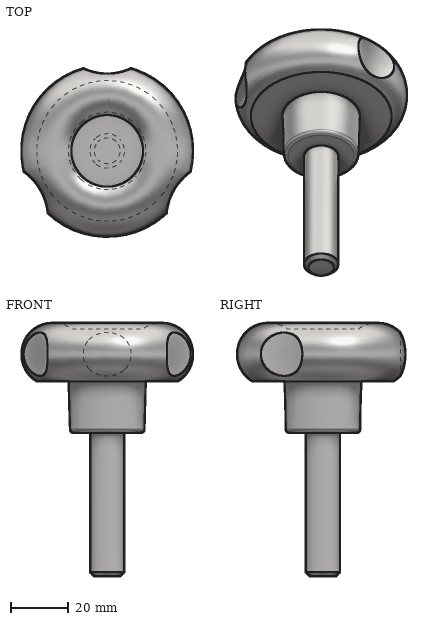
import cadquery as cq
import math

stud_radius = 6.0
stud_length = 50.0
stud_chamfer = 1.5

hub_height = 18.0
hub_bottom_radius = 13.0
hub_top_radius = 13.5
hub_fillet = 1.5

grip_outer_radius = 30.0
tube_radius = 11.0
tube_centre_radius = grip_outer_radius - tube_radius
total_height = 88.5
grip_top_z = total_height - stud_length
tube_centre_z = grip_top_z - tube_radius
disc_radius = 12.5

scallop_count = 3
scallop_radius = 20.0
scallop_centre_distance = 47.0
first_scallop_angle = 90.0
full_turn = 360


def tube_half_height(radius):
    """Height of the tube surface above its centre plane at a distance from the knob axis."""
    return math.sqrt(tube_radius**2 - (radius - tube_centre_radius) ** 2)


def make_grip():
    bottom_drop = tube_centre_z - hub_height
    base_radius = tube_centre_radius + math.sqrt(tube_radius**2 - bottom_drop**2)
    disc_z = tube_centre_z + tube_half_height(disc_radius)
    profile = (
        cq.Workplane("XZ")
        .moveTo(0, hub_height)
        .lineTo(base_radius, hub_height)
        .threePointArc((grip_outer_radius, tube_centre_z), (disc_radius, disc_z))
        .lineTo(0, disc_z)
        .close()
    )
    return profile.revolve(full_turn, (0, 0, 0), (0, 1, 0))


def make_hub():
    profile = (
        cq.Workplane("XZ")
        .lineTo(hub_bottom_radius, 0)
        .lineTo(hub_top_radius, hub_height)
        .lineTo(0, hub_height)
        .close()
    )
    hub = profile.revolve(full_turn, (0, 0, 0), (0, 1, 0))
    return hub.faces("<Z").edges().fillet(hub_fillet)


def make_stud():
    stud = cq.Workplane("XY").circle(stud_radius).extrude(-stud_length)
    return stud.faces("<Z").edges().chamfer(stud_chamfer)


def make_scallops():
    centres = cq.Workplane("XY").workplane(offset=hub_height).polarArray(
        scallop_centre_distance, first_scallop_angle, full_turn, scallop_count
    )
    return centres.circle(scallop_radius).extrude(grip_top_z - hub_height)


grip = make_grip().cut(make_scallops())
result = grip.union(make_hub()).union(make_stud())